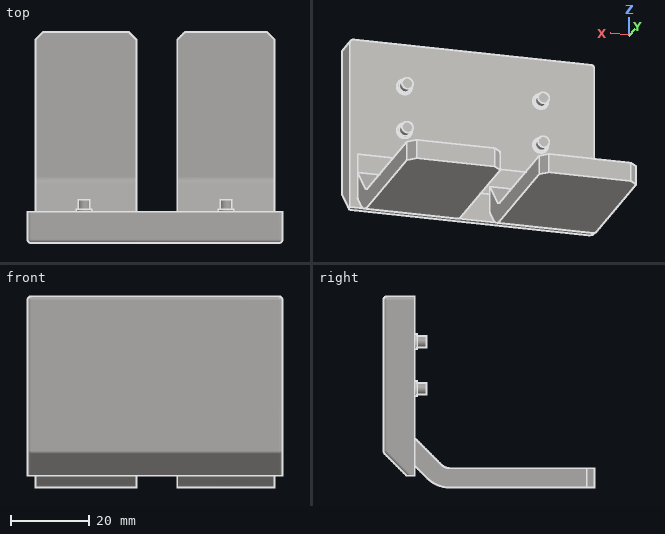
import cadquery as cq
import math


cover_width = 65.3
cover_depth = 8.1
cover_bottom = 3.0
cover_top = 49.0
lower_bevel = 6.0
edge_radius = 1.0

stud_diameter = 3.0
stud_length = 3.0
collar_diameter = 4.0
collar_length = 0.5
stud_spacing_x = 36.4
stud_spacing_z = 12.0
lower_stud_z = 25.35

overall_depth = 54.1
sheet = 5.0
bend_angle = math.radians(45)
fork_reach = overall_depth - cover_depth
corner_chamfer = 2.0
inner_bend_radius = 3.0
outer_bend_radius = inner_bend_radius + sheet
bend_start = 8.9
left_fork_width = 25.9
right_fork_width = 24.95
fork_inset = 2.0

left_fork_x = -cover_width / 2 + fork_inset
right_fork_x = cover_width / 2 - fork_inset - right_fork_width

bend_sine = math.sin(bend_angle)
outer_bend_run = outer_bend_radius * bend_sine
outer_bend_rise = outer_bend_radius - outer_bend_run
inner_bend_run = inner_bend_radius * bend_sine
inner_bend_rise = inner_bend_radius - inner_bend_run
underside_end_z = outer_bend_rise + bend_start - outer_bend_run + sheet
crossbar_height = sheet / bend_sine
upperside_end_z = underside_end_z + crossbar_height


def arc_middle(radius, bottom_z):
    """Point halfway round a 45 degree bend that rises from bottom_z."""
    half_angle = bend_angle / 2
    return (
        bend_start - radius * math.sin(half_angle),
        bottom_z + radius * (1 - math.cos(half_angle)),
    )


def make_fork(left_x, width):
    """One bent fork, from its chamfered free end to its end inside the cover."""
    profile = (
        cq.Workplane("YZ", origin=(left_x, 0, 0))
        .moveTo(fork_reach, 0)
        .lineTo(bend_start, 0)
        .threePointArc(
            arc_middle(outer_bend_radius, 0),
            (bend_start - outer_bend_run, outer_bend_rise),
        )
        .lineTo(-sheet, underside_end_z)
        .lineTo(-sheet, upperside_end_z)
        .lineTo(bend_start - inner_bend_run, sheet + inner_bend_rise)
        .threePointArc(arc_middle(inner_bend_radius, sheet), (bend_start, sheet))
        .lineTo(fork_reach, sheet)
        .close()
    )
    fork = profile.extrude(width)
    return fork.faces(">Y").edges("|Z").chamfer(corner_chamfer)


def make_bracket():
    """Both forks joined by the crossbar that lies in the cover."""
    left_fork = make_fork(left_fork_x, left_fork_width)
    right_fork = make_fork(right_fork_x, right_fork_width)
    crossbar_length = right_fork_x + right_fork_width - left_fork_x
    crossbar = (
        cq.Workplane("XY", origin=(left_fork_x, -sheet, underside_end_z))
        .box(crossbar_length, sheet, crossbar_height, centered=False)
    )
    return left_fork.union(right_fork).union(crossbar)


def make_cover_block():
    """Plate with a bevelled lower front and rounded front, bevel-side and top-side edges."""
    block = (
        cq.Workplane("YZ")
        .moveTo(0, cover_bottom)
        .lineTo(lower_bevel - cover_depth, cover_bottom)
        .lineTo(-cover_depth, cover_bottom + lower_bevel)
        .lineTo(-cover_depth, cover_top)
        .lineTo(0, cover_top)
        .close()
        .extrude(cover_width / 2, both=True)
    )
    bevel_sides = cq.selectors.ParallelDirSelector(cq.Vector(0, -1, 1))
    rounded = (
        block.faces("<Y").edges()
        .add(block.faces(">Z").edges("|Y"))
        .add(block.edges(bevel_sides))
    )
    return rounded.fillet(edge_radius)


def make_stud(x, z):
    """Round stud with a collar at its foot."""
    rear_face = cq.Workplane("XZ", origin=(x, 0, z))
    stud = rear_face.circle(stud_diameter / 2).extrude(-stud_length)
    collar = rear_face.circle(collar_diameter / 2).extrude(-collar_length)
    return stud.union(collar)


def make_cover(bracket):
    """Cover with four studs and a recess that fits the bracket."""
    cover = make_cover_block().cut(bracket)
    for x in (-stud_spacing_x / 2, stud_spacing_x / 2):
        for z in (lower_stud_z, lower_stud_z + stud_spacing_z):
            cover = cover.union(make_stud(x, z))
    return cover


bracket = make_bracket()
cover = make_cover(bracket)
result = cq.Compound.makeCompound([cover.val(), bracket.val()])